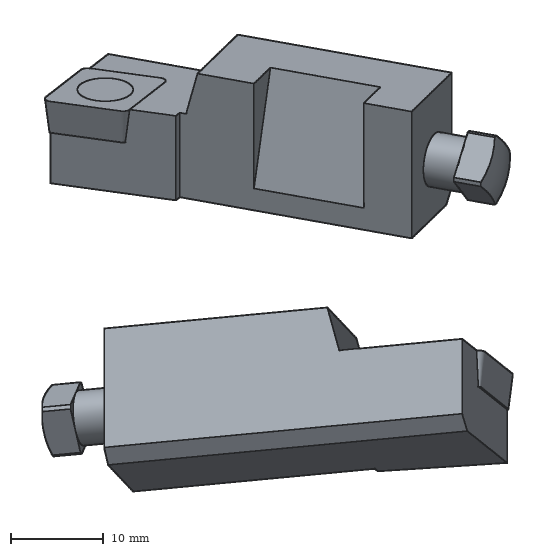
import cadquery as cq
import math

HOLDER_END_X = 42.05
HOLDER_WIDTH = 11.0
HOLDER_HEIGHT = 15.0
SHELF_HEIGHT = 10.0
SLOPE_FOOT_X = 15.6
SLOPE_ANGLE = 15.0
BASE_CHAMFER = 1.5

APPROACH_ANGLE = 5.0
NOSE_CORNER_X = 0.65
NOSE_CORNER_Y = -2.15
NOSE_STEP_X = 14.8

RECESS_START_X = 23.55
RECESS_LENGTH = 12.85
RECESS_BOTTOM_Z = 2.6
RECESS_ANGLE = 20.0

INSERT_CIRCLE = 9.5
INSERT_CORNER_ANGLE = 80.0
INSERT_RELIEF_ANGLE = 7.0
INSERT_THICKNESS = 3.95
INSERT_CORNER_RADIUS = 0.8
INSERT_MIN_X = 0.0
INSERT_MIN_Y = -2.8
INSERT_HOLE_DIAMETER = 6.0

BOLT_CENTER_Y = 6.2
BOLT_CENTER_Z = 6.75
BOLT_END_X = 50.05
BOLT_SHANK_DIAMETER = 6.0
BOLT_SHANK_LENGTH = 4.0
HEAD_ACROSS_FLATS = 6.0
HEAD_TURN = 45.0
HEAD_DIAMETER = 8.0
HEAD_DOME_RADIUS = 10.0


def tangent(angle):
    return math.tan(math.radians(angle))


def direction(angle):
    """Unit vector in the XY plane at an angle from +X."""
    return cq.Vector(math.cos(math.radians(angle)), math.sin(math.radians(angle)), 0)


def make_insert():
    """Tapered rhombus with a straight through hole; its large face is level with the shelf."""
    side = INSERT_CIRCLE / math.sin(math.radians(INSERT_CORNER_ANGLE))
    front_edge = direction(APPROACH_ANGLE) * side
    left_edge = direction(APPROACH_ANGLE + INSERT_CORNER_ANGLE) * side
    bisector = direction(APPROACH_ANGLE + INSERT_CORNER_ANGLE / 2)

    rounding_center = cq.Vector(
        INSERT_MIN_X + INSERT_CORNER_RADIUS,
        INSERT_MIN_Y + INSERT_CORNER_RADIUS,
        SHELF_HEIGHT,
    )
    corner_reach = INSERT_CORNER_RADIUS / math.sin(math.radians(INSERT_CORNER_ANGLE / 2))
    center = rounding_center - bisector * corner_reach + (front_edge + left_edge) * 0.5

    long_half = (front_edge + left_edge) * 0.5
    short_half = (front_edge - left_edge) * 0.5
    corners = [
        (-long_half.x, -long_half.y),
        (short_half.x, short_half.y),
        (long_half.x, long_half.y),
        (-short_half.x, -short_half.y),
    ]
    outline = cq.Sketch().polygon(corners + corners[:1]).vertices().fillet(INSERT_CORNER_RADIUS)
    blank = (
        cq.Workplane("XY", origin=center.toTuple())
        .placeSketch(outline)
        .extrude(-INSERT_THICKNESS, taper=INSERT_RELIEF_ANGLE)
    )
    hole = (
        cq.Workplane("XY", origin=center.toTuple())
        .circle(INSERT_HOLE_DIAMETER / 2)
        .extrude(-INSERT_THICKNESS)
    )
    return blank.cut(hole)


def make_recess():
    """Wedge whose sloping floor runs out at the front side of the holder."""
    height = HOLDER_HEIGHT - RECESS_BOTTOM_Z
    depth = height * tangent(RECESS_ANGLE)
    return (
        cq.Workplane("YZ", origin=(RECESS_START_X, 0, 0))
        .polyline([(0, RECESS_BOTTOM_Z), (0, HOLDER_HEIGHT), (depth, HOLDER_HEIGHT)])
        .close()
        .extrude(RECESS_LENGTH)
    )


def make_holder(insert):
    """Stepped holder with a seat and a locating post that fit the insert."""
    lean = tangent(APPROACH_ANGLE)
    nose_back_x = NOSE_CORNER_X + (HOLDER_WIDTH - NOSE_CORNER_Y) * lean
    step_y = NOSE_CORNER_Y + (NOSE_STEP_X - NOSE_CORNER_X) * lean
    step_end_x = NOSE_STEP_X - step_y * lean
    body = (
        cq.Workplane("XY")
        .polyline([
            (NOSE_CORNER_X, NOSE_CORNER_Y),
            (NOSE_STEP_X, step_y),
            (step_end_x, 0),
            (HOLDER_END_X, 0),
            (HOLDER_END_X, HOLDER_WIDTH),
            (nose_back_x, HOLDER_WIDTH),
        ])
        .close()
        .extrude(HOLDER_HEIGHT)
    )

    body = body.faces("<Z").edges(">Y").chamfer(BASE_CHAMFER)

    slope_top_x = SLOPE_FOOT_X + (HOLDER_HEIGHT - SHELF_HEIGHT) * tangent(SLOPE_ANGLE)
    shelf_space = (
        cq.Workplane("XZ", origin=(0, HOLDER_WIDTH, 0))
        .polyline([
            (0, SHELF_HEIGHT),
            (SLOPE_FOOT_X, SHELF_HEIGHT),
            (slope_top_x, HOLDER_HEIGHT),
            (0, HOLDER_HEIGHT),
        ])
        .close()
        .extrude(HOLDER_WIDTH - NOSE_CORNER_Y)
    )
    return body.cut(shelf_space).cut(make_recess()).cut(insert)


def make_bolt():
    """Bolt standing on the end face of the holder."""
    axis_plane = cq.Workplane("YZ", origin=(HOLDER_END_X, BOLT_CENTER_Y, BOLT_CENTER_Z))
    head_length = BOLT_END_X - HOLDER_END_X - BOLT_SHANK_LENGTH
    shank = axis_plane.circle(BOLT_SHANK_DIAMETER / 2).extrude(BOLT_SHANK_LENGTH)
    head_plane = axis_plane.workplane(offset=BOLT_SHANK_LENGTH)
    square = (
        head_plane.transformed(rotate=(0, 0, HEAD_TURN))
        .rect(HEAD_ACROSS_FLATS, HEAD_ACROSS_FLATS)
        .extrude(head_length)
    )
    turned = head_plane.circle(HEAD_DIAMETER / 2).extrude(head_length)
    dome = cq.Workplane("XY").sphere(HEAD_DOME_RADIUS).translate(
        (BOLT_END_X - HEAD_DOME_RADIUS, BOLT_CENTER_Y, BOLT_CENTER_Z)
    )
    return shank.union(square.intersect(turned).intersect(dome))


insert = make_insert()
holder = make_holder(insert)
bolt = make_bolt()

result = cq.Compound.makeCompound([
    holder.solids().val(),
    insert.solids().val(),
    bolt.solids().val(),
])